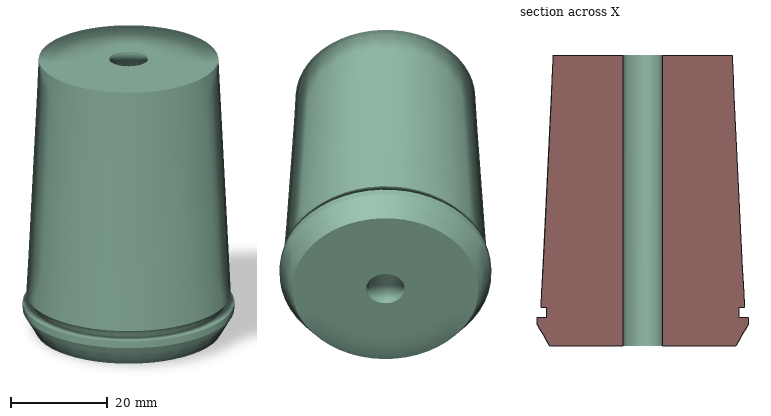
import cadquery as cq
import math

total_height = 60.0
collar_bottom = 4.5
collar_top = 6.0
groove_top = 8.0

collar_diameter = 43.7
groove_diameter = 39.8
cone_base_diameter = 42.2
cone_top_diameter = 37.1
bore_diameter = 8.0

nose_angle = 30.0
nose_radius = collar_diameter / 2 - collar_bottom * math.tan(math.radians(nose_angle))

profile = [
    (0, 0),
    (nose_radius, 0),
    (collar_diameter / 2, collar_bottom),
    (collar_diameter / 2, collar_top),
    (groove_diameter / 2, collar_top),
    (groove_diameter / 2, groove_top),
    (cone_base_diameter / 2, groove_top),
    (cone_top_diameter / 2, total_height),
    (0, total_height),
]
body = cq.Workplane("XZ").polyline(profile).close().revolve(360, (0, 0), (0, 1))

bore = cq.Workplane("XY").circle(bore_diameter / 2).extrude(total_height)

result = body.cut(bore)